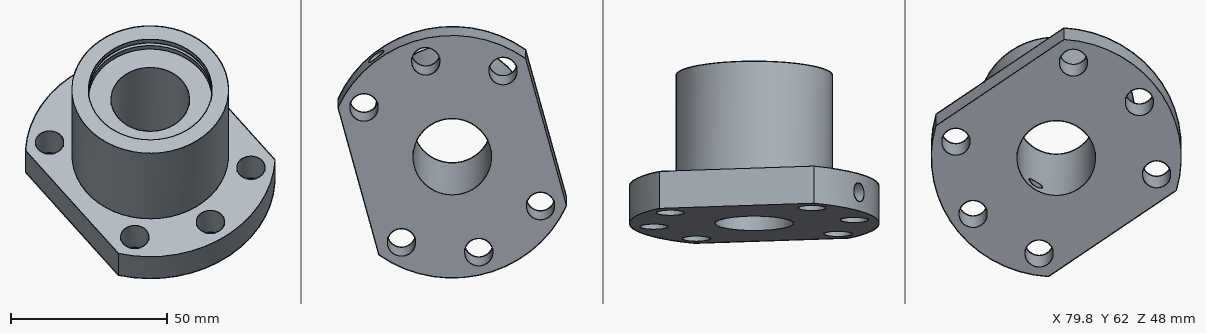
import cadquery as cq

flange_diameter = 79.75
flange_width = 62.0
flange_thickness = 12.05

total_height = 48.0
body_diameter = 50.0
bore_diameter = 25.0

recess_diameter = 39.5
recess_depth = 5.4
groove_diameter = 41.5
groove_top_depth = 2.0
groove_width = 1.5

bolt_circle_diameter = 65.0
bolt_hole_diameter = 9.0
bolt_hole_spacing = 45.0
holes_per_side = 3

port_angle = 180.0 - bolt_hole_spacing / 2
port_height = flange_thickness / 2
port_mouth_diameter = 6.0
port_mouth_depth = 6.0
port_inner_diameter = 5.0


def cylinder(diameter, bottom, top):
    """Vertical cylinder on the part axis."""
    return cq.Workplane("XY").workplane(offset=bottom).circle(diameter / 2).extrude(top - bottom)


def radial_cylinder(diameter, inner_radius, outer_radius):
    """Cylinder along the port axis, between two distances from the part axis."""
    along_x = (
        cq.Workplane("YZ", origin=(inner_radius, 0, port_height))
        .circle(diameter / 2)
        .extrude(outer_radius - inner_radius)
    )
    return along_x.rotate((0, 0, 0), (0, 0, 1), port_angle)


def make_flange():
    flats = cq.Workplane("XY").box(
        flange_diameter, flange_width, flange_thickness, centered=(True, True, False)
    )
    return cylinder(flange_diameter, 0, flange_thickness).intersect(flats)


def bolt_holes():
    """Two opposite groups of holes, each centred on the X axis."""
    holes = cq.Workplane("XY")
    group_span = (holes_per_side - 1) * bolt_hole_spacing
    for side_angle in (0, 180):
        holes = holes.polarArray(
            bolt_circle_diameter / 2,
            side_angle - group_span / 2,
            group_span,
            holes_per_side,
        ).circle(bolt_hole_diameter / 2)
    return holes.extrude(flange_thickness)


def seal_recess():
    recess = cylinder(recess_diameter, total_height - recess_depth, total_height)
    groove_top = total_height - groove_top_depth
    groove = cylinder(groove_diameter, groove_top - groove_width, groove_top)
    return recess.union(groove)


def lubrication_port():
    """Wide mouth from the flange rim, then a narrower hole into the bore."""
    rim_radius = flange_diameter / 2
    mouth = radial_cylinder(port_mouth_diameter, rim_radius - port_mouth_depth, rim_radius)
    inner = radial_cylinder(port_inner_diameter, 0, rim_radius)
    return mouth.union(inner)


body = make_flange().union(cylinder(body_diameter, 0, total_height))
result = (
    body.cut(cylinder(bore_diameter, 0, total_height))
    .cut(seal_recess())
    .cut(bolt_holes())
    .cut(lubrication_port())
)